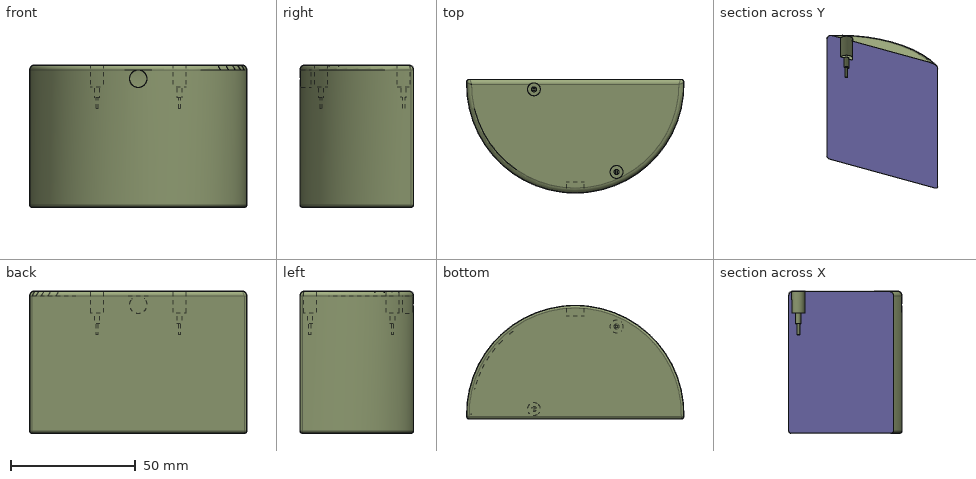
import cadquery as cq
import math

WIDTH = 87.0
HEIGHT = 57.0
FRONT_RADIUS = WIDTH / 2
BACK_Y = 2.0
TOP_FILLET = 2.0
EDGE_FILLET = 1.05

HOLE_X = 16.5
HOLE_CENTERS = [(-HOLE_X, -2.0), (HOLE_X, -35.1)]
HOLE_STEPS = [(5.1, 8.7), (2.0, 13.05), (1.0, 17.4)]

PLUG_DIAMETER = 7.0
PLUG_LENGTH = 4.35
PLUG_Z = HEIGHT - TOP_FILLET - PLUG_DIAMETER / 2


def make_block():
    """D-shaped block with all its edges rounded."""
    back_corner_x = math.sqrt(FRONT_RADIUS**2 - BACK_Y**2)
    block = (
        cq.Workplane("XY")
        .moveTo(-back_corner_x, BACK_Y)
        .threePointArc((0, -FRONT_RADIUS), (back_corner_x, BACK_Y))
        .close()
        .extrude(HEIGHT)
    )
    block = block.edges("|Z").fillet(EDGE_FILLET)
    block = block.faces("<Z").edges().fillet(EDGE_FILLET)
    return block.faces(">Z").edges().fillet(TOP_FILLET)


def make_stepped_hole(center):
    """Cutter for one stepped hole, each narrower step reaching deeper."""
    cutter = cq.Workplane("XY")
    for diameter, depth in HOLE_STEPS:
        step = (
            cq.Workplane("XY", origin=(*center, HEIGHT - depth))
            .circle(diameter / 2)
            .extrude(depth)
        )
        cutter = cutter.union(step)
    return cutter


def make_plug():
    """Plug along Y: an overlong bar trimmed to the round front wall."""
    plug_bar = (
        cq.Workplane("XZ", origin=(0, PLUG_LENGTH - FRONT_RADIUS, PLUG_Z))
        .circle(PLUG_DIAMETER / 2)
        .extrude(2 * PLUG_LENGTH)
    )
    front_cylinder = cq.Workplane("XY").circle(FRONT_RADIUS).extrude(HEIGHT)
    return plug_bar.intersect(front_cylinder)


def make_housing(plug):
    """Rounded block with the top holes and the seat for the plug."""
    housing = make_block()
    for center in HOLE_CENTERS:
        housing = housing.cut(make_stepped_hole(center))
    return housing.cut(plug)


plug = make_plug()
housing = make_housing(plug)
result = cq.Compound.makeCompound([housing.val(), plug.val()])